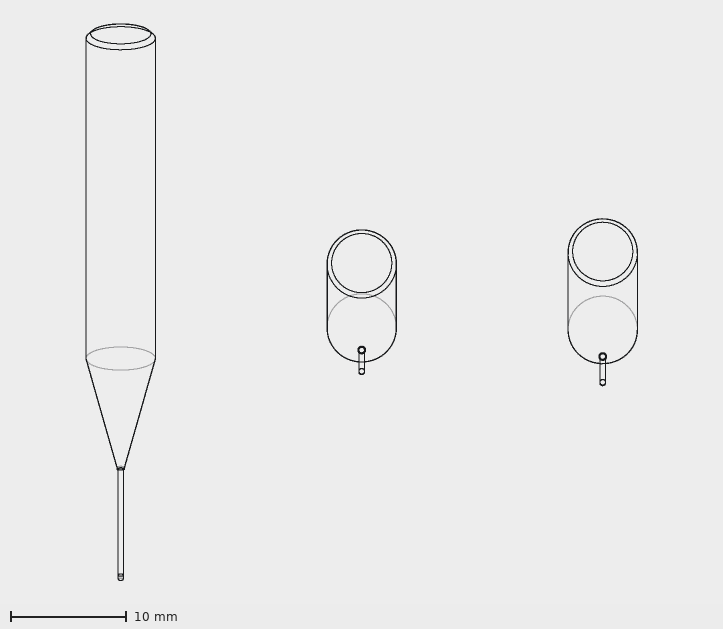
import cadquery as cq
import math

overall_length = 50.0

head_diameter = 0.5
head_length = 0.5

neck_diameter = 0.49
neck_end_z = 10.2

collar_diameter = 0.66

shank_diameter = 6.0
cone_end_z = 20.3
cone_half_angle = 15.0
chamfer_size = 0.4


def make_cutting_head():
    """Ball-nosed head, revolved about Z."""
    radius = head_diameter / 2
    return (
        cq.Workplane("XZ")
        .moveTo(0, 0)
        .radiusArc((radius, radius), -radius)
        .lineTo(radius, head_length)
        .lineTo(0, head_length)
        .close()
        .revolve(360, (0, 0, 0), (0, 1, 0))
    )


def make_shank():
    """Neck, collar, cone and cylindrical shank, revolved about Z as one body."""
    neck_radius = neck_diameter / 2
    collar_radius = collar_diameter / 2
    shank_radius = shank_diameter / 2
    cone_length = (shank_radius - collar_radius) / math.tan(math.radians(cone_half_angle))
    cone_start_z = cone_end_z - cone_length
    return (
        cq.Workplane("XZ")
        .moveTo(0, head_length)
        .lineTo(neck_radius, head_length)
        .lineTo(neck_radius, neck_end_z)
        .lineTo(collar_radius, neck_end_z)
        .lineTo(collar_radius, cone_start_z)
        .lineTo(shank_radius, cone_end_z)
        .lineTo(shank_radius, overall_length - chamfer_size)
        .lineTo(shank_radius - chamfer_size, overall_length)
        .lineTo(0, overall_length)
        .close()
        .revolve(360, (0, 0, 0), (0, 1, 0))
    )


cutting_head = make_cutting_head()
shank = make_shank()

result = cq.Compound.makeCompound([cutting_head.val(), shank.val()])